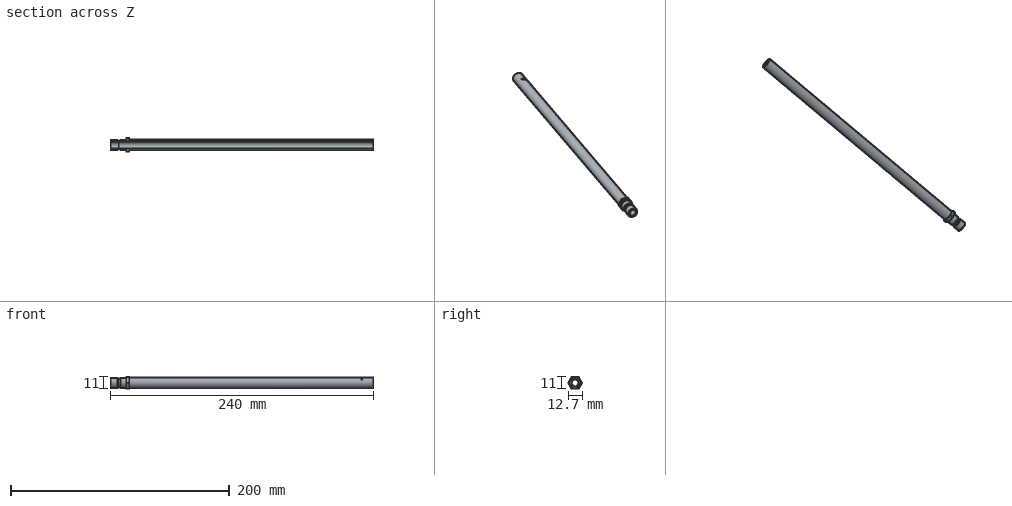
import cadquery as cq
import math

TUBE_LENGTH = 240.0
TUBE_DIAMETER = 10.0
BORE_DIAMETER = 6.0

PLUG_DIAMETER = 9.4

GROOVE_START = 6.0
GROOVE_WIDTH = 3.0
GROOVE_DEPTH = 0.85

HEX_START = 14.0
HEX_WIDTH = 3.0
HEX_ACROSS_FLATS = 11.0

SLOT_FROM_END = 10.7
SLOT_WIDTH = 1.2
SLOT_DEPTH = 0.9
SLOT_TILT = 22.0

TUBE_RADIUS = TUBE_DIAMETER / 2
PLUG_RADIUS = PLUG_DIAMETER / 2


def make_plug_tube():
    """Solid of revolution: plug end with its V groove, then the plain tube."""
    groove_end = GROOVE_START + GROOVE_WIDTH
    groove_middle = GROOVE_START + GROOVE_WIDTH / 2
    profile = (
        cq.Workplane("XZ")
        .moveTo(0, 0)
        .lineTo(0, PLUG_RADIUS)
        .lineTo(GROOVE_START, PLUG_RADIUS)
        .lineTo(groove_middle, PLUG_RADIUS - GROOVE_DEPTH)
        .lineTo(groove_end, PLUG_RADIUS)
        .lineTo(HEX_START, PLUG_RADIUS)
        .lineTo(HEX_START, TUBE_RADIUS)
        .lineTo(TUBE_LENGTH, TUBE_RADIUS)
        .lineTo(TUBE_LENGTH, 0)
        .close()
    )
    return profile.revolve(360, (0, 0, 0), (1, 0, 0))


def make_hex_collar():
    """Hexagonal prism around the tube with corners on the Y axis."""
    across_corners = HEX_ACROSS_FLATS / math.cos(math.radians(30))
    return (
        cq.Workplane("YZ", origin=(HEX_START, 0, 0))
        .polygon(6, across_corners)
        .extrude(HEX_WIDTH)
    )


def make_bore():
    """Cylinder that opens the part from end to end."""
    return cq.Workplane("YZ").circle(BORE_DIAMETER / 2).extrude(TUBE_LENGTH)


def make_slot_cutter():
    """Block above the slot floor, turned about the tube axis toward -Y."""
    floor_height = TUBE_RADIUS - SLOT_DEPTH
    block = cq.Workplane("XY").box(
        SLOT_WIDTH, TUBE_DIAMETER, TUBE_RADIUS, centered=(True, True, False)
    )
    block = block.translate((TUBE_LENGTH - SLOT_FROM_END, 0, floor_height))
    return block.rotate((0, 0, 0), (1, 0, 0), SLOT_TILT)


result = (
    make_plug_tube()
    .union(make_hex_collar())
    .cut(make_bore())
    .cut(make_slot_cutter())
)